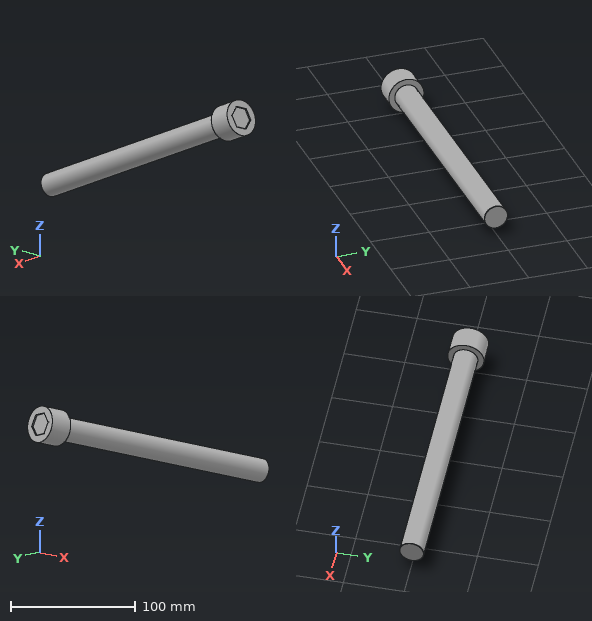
import cadquery as cq
import math

total_length = 240.0
head_diameter = 30.0
head_height = 20.0
shank_diameter = 20.0
tip_chamfer = 0.2
socket_across_flats = 17.0
socket_depth = 1.5

head_face_x = -total_length / 2


def rod(start_x, diameter, length):
    """Solid cylinder along +X, starting at start_x."""
    return cq.Workplane("YZ", origin=(start_x, 0, 0)).circle(diameter / 2).extrude(length)


def hex_socket():
    """Hexagonal cutter with two corners on the Y axis."""
    across_corners = socket_across_flats / math.cos(math.radians(30))
    return cq.Workplane("YZ", origin=(head_face_x, 0, 0)).polygon(6, across_corners).extrude(socket_depth)


head = rod(head_face_x, head_diameter, head_height)
shank = rod(head_face_x, shank_diameter, total_length).faces(">X").chamfer(tip_chamfer)

result = head.union(shank).cut(hex_socket())